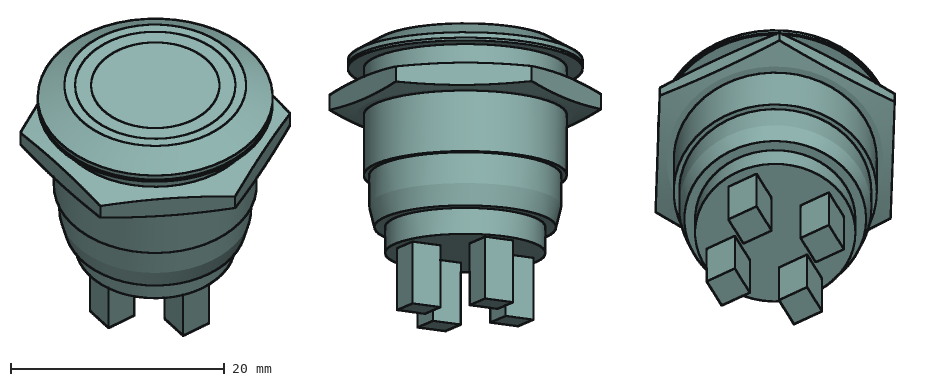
import cadquery as cq
import math

pin_length = 5.95
base_height = 2.5
taper_height = 2.0
collar_height = 3.0
flange_height = 2.0
flange_bevel_height = 1.48
gasket_thickness = 0.25
total_height = 26.0

base_diameter = 15.0
taper_end_diameter = 17.0
collar_diameter = 18.0
barrel_diameter = 19.0
flange_diameter = 22.0
face_diameter = 17.0

ring_diameter = 15.0
ring_inner_diameter = 12.0
groove_depth = 1.5

pin_width = 3.0
pin_offset = 5.0
pin_count = 4

nut_across_flats = flange_diameter
nut_across_corners = nut_across_flats / math.cos(math.pi / 6)
nut_thickness = 2.5
nut_bottom = 19.27
nut_face_diameter = 20.28
nut_corner_drop = 0.52

base_top = pin_length + base_height
taper_top = base_top + taper_height
collar_top = taper_top + collar_height
flange_bottom = total_height - flange_height
bevel_bottom = total_height - flange_bevel_height
groove_floor = total_height - groove_depth


def revolve_profile(points):
    """Turn a closed (radius, height) outline around the Z axis."""
    return cq.Workplane("XZ").polyline(points).close().revolve(360, (0, 0), (0, 1))


def make_contact_pin(index):
    """One square pin, set on the cross pattern below the base."""
    angle = index * 2 * math.pi / pin_count
    x = pin_offset * math.cos(angle)
    y = pin_offset * math.sin(angle)
    return cq.Workplane("XY").center(x, y).rect(pin_width, pin_width).extrude(pin_length)


def make_housing():
    """Stepped round housing with its flange, ring groove and contact pins."""
    outline = [
        (0, pin_length),
        (base_diameter / 2, pin_length),
        (base_diameter / 2, base_top),
        (taper_end_diameter / 2, base_top),
        (collar_diameter / 2, taper_top),
        (collar_diameter / 2, collar_top),
        (barrel_diameter / 2, collar_top),
        (barrel_diameter / 2, flange_bottom),
        (flange_diameter / 2, flange_bottom),
        (flange_diameter / 2, bevel_bottom),
        (face_diameter / 2, total_height),
        (ring_diameter / 2, total_height),
        (ring_diameter / 2, groove_floor),
        (ring_inner_diameter / 2, groove_floor),
        (ring_inner_diameter / 2, total_height),
        (0, total_height),
    ]
    housing = revolve_profile(outline)
    for index in range(pin_count):
        housing = housing.union(make_contact_pin(index))
    return housing


def make_washer(outer_diameter, inner_diameter, bottom, thickness):
    """Flat ring around the Z axis."""
    return (
        cq.Workplane("XY", origin=(0, 0, bottom))
        .circle(outer_diameter / 2)
        .circle(inner_diameter / 2)
        .extrude(thickness)
    )


def make_light_ring():
    """Ring that fills the groove in the front face, flush with it."""
    return make_washer(ring_diameter, ring_inner_diameter, groove_floor, groove_depth)


def make_gasket():
    """Thin seal under the flange, around the barrel."""
    gasket_bottom = flange_bottom - gasket_thickness
    return make_washer(flange_diameter, barrel_diameter, gasket_bottom, gasket_thickness)


def make_nut():
    """Hexagonal nut around the barrel, with its corners chamfered on both faces."""
    nut_top = nut_bottom + nut_thickness
    hexagon = (
        cq.Workplane("XY", origin=(0, 0, nut_bottom))
        .polygon(6, nut_across_corners)
        .extrude(nut_thickness)
    )
    chamfer_envelope = revolve_profile([
        (barrel_diameter / 2, nut_bottom),
        (nut_face_diameter / 2, nut_bottom),
        (nut_across_corners / 2, nut_bottom + nut_corner_drop),
        (nut_across_corners / 2, nut_top - nut_corner_drop),
        (nut_face_diameter / 2, nut_top),
        (barrel_diameter / 2, nut_top),
    ])
    return hexagon.intersect(chamfer_envelope)


housing = make_housing()
light_ring = make_light_ring()
gasket = make_gasket()
nut = make_nut()

result = cq.Compound.makeCompound([housing.val(), light_ring.val(), gasket.val(), nut.val()])